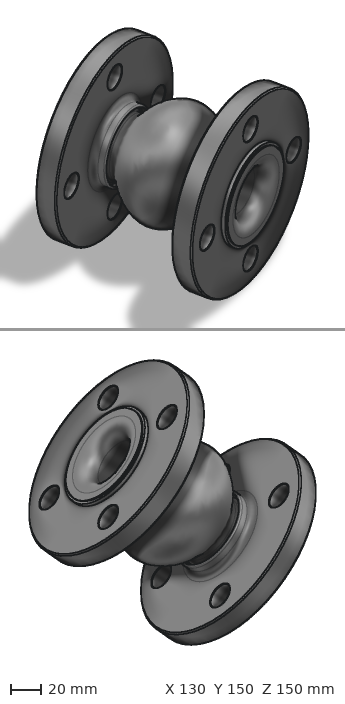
import cadquery as cq
import math

overall_length = 130.0
raised_face_height = 4.0
flange_thickness = 16.0
neck_length = 10.5
face_x = overall_length / 2
flange_outer_x = face_x - raised_face_height
flange_inner_x = flange_outer_x - flange_thickness
neck_end_x = flange_inner_x - neck_length

flange_radius = 150 / 2
flange_chamfer = 1.0
raised_face_radius = 75 / 2
sealing_face_radius = 71.0 / 2
sealing_face_height = 1.0
neck_radius = 60 / 2
neck_edge_round = 1.0
neck_fillet = 5.0

recess_radius = 56.1 / 2
recess_depth = 5.0
seat_x = neck_end_x + recess_depth

bore_radius = 35.0 / 2
mouth_radius = 59.0 / 2
mouth_fillet = mouth_radius - bore_radius

bolt_count = 4
bolt_hole_radius = 18.0 / 2
bolt_hole_chamfer = 0.5
bolt_circle_radius = 110.0 / 2

bellows_crest_radius = 90.0 / 2
shoulder_x = 15.0
shoulder_radius = 40.2
foot_x = 27.0
foot_radius = 29.2
bulge_end_x = neck_end_x
bellows_end_radius = 49.0 / 2
end_flare_round = 2.1
flare_radius = bellows_end_radius + end_flare_round


def quarter_arc_middle(center_x, center_r, radius, direction_x, direction_r):
    """Point halfway along a quarter arc, on the diagonal given by two signs."""
    step = radius * math.sqrt(0.5)
    return (center_x + direction_x * step, center_r + direction_r * step)


def cut_bolt_holes(flange):
    """Cut the chamfered bolt holes through the flange."""
    mouth = bolt_hole_radius + bolt_hole_chamfer
    hole = (
        cq.Workplane("XY")
        .moveTo(flange_inner_x, 0)
        .lineTo(flange_inner_x, mouth)
        .lineTo(flange_inner_x + bolt_hole_chamfer, bolt_hole_radius)
        .lineTo(flange_outer_x - bolt_hole_chamfer, bolt_hole_radius)
        .lineTo(flange_outer_x, mouth)
        .lineTo(flange_outer_x, 0)
        .close()
        .revolve(360, (0, 0, 0), (1, 0, 0))
        .translate((0, bolt_circle_radius, 0))
    )
    for index in range(bolt_count):
        angle = index * 360 / bolt_count
        flange = flange.cut(hole.rotate((0, 0, 0), (1, 0, 0), angle))
    return flange


def make_flange(turn):
    """Welding-neck flange on +X, turned about Z by the given angle."""
    neck_arc = quarter_arc_middle(
        flange_inner_x - neck_fillet, neck_radius + neck_fillet, neck_fillet, 1, -1
    )
    edge_arc = quarter_arc_middle(
        neck_end_x + neck_edge_round, neck_radius - neck_edge_round, neck_edge_round, -1, 1
    )
    mouth_arc = quarter_arc_middle(face_x - mouth_fillet, mouth_radius, mouth_fillet, 1, -1)
    flange = (
        cq.Workplane("XY")
        .moveTo(seat_x, bore_radius)
        .lineTo(seat_x, recess_radius)
        .lineTo(neck_end_x, recess_radius)
        .lineTo(neck_end_x, neck_radius - neck_edge_round)
        .threePointArc(edge_arc, (neck_end_x + neck_edge_round, neck_radius))
        .lineTo(flange_inner_x - neck_fillet, neck_radius)
        .threePointArc(neck_arc, (flange_inner_x, neck_radius + neck_fillet))
        .lineTo(flange_inner_x, flange_radius - flange_chamfer)
        .lineTo(flange_inner_x + flange_chamfer, flange_radius)
        .lineTo(flange_outer_x - flange_chamfer, flange_radius)
        .lineTo(flange_outer_x, flange_radius - flange_chamfer)
        .lineTo(flange_outer_x, raised_face_radius)
        .lineTo(face_x - sealing_face_height, raised_face_radius)
        .lineTo(face_x - sealing_face_height, sealing_face_radius)
        .lineTo(face_x, sealing_face_radius)
        .lineTo(face_x, mouth_radius)
        .threePointArc(mouth_arc, (face_x - mouth_fillet, bore_radius))
        .close()
        .revolve(360, (0, 0, 0), (1, 0, 0))
    )
    return cut_bolt_holes(flange).rotate((0, 0, 0), (0, 0, 1), turn)


def make_bellows():
    """Tube between the flanges with one smooth bulge and flared ends."""
    flare_start_x = seat_x - end_flare_round
    right_flare_arc = quarter_arc_middle(flare_start_x, flare_radius, end_flare_round, 1, -1)
    left_flare_arc = quarter_arc_middle(-flare_start_x, flare_radius, end_flare_round, -1, -1)

    bulge = [
        (-foot_x, foot_radius),
        (-shoulder_x, shoulder_radius),
        (0, bellows_crest_radius),
        (shoulder_x, shoulder_radius),
        (foot_x, foot_radius),
        (bulge_end_x, bellows_end_radius),
    ]
    along_axis = (1, 0)

    return (
        cq.Workplane("XY")
        .moveTo(-seat_x, bore_radius)
        .lineTo(-seat_x, flare_radius)
        .threePointArc(left_flare_arc, (-flare_start_x, bellows_end_radius))
        .lineTo(-bulge_end_x, bellows_end_radius)
        .spline(bulge, tangents=[along_axis, along_axis], includeCurrent=True)
        .lineTo(flare_start_x, bellows_end_radius)
        .threePointArc(right_flare_arc, (seat_x, flare_radius))
        .lineTo(seat_x, bore_radius)
        .close()
        .revolve(360, (0, 0, 0), (1, 0, 0))
    )


flanges = [make_flange(turn) for turn in (0, 180)]
bellows = make_bellows()

result = cq.Compound.makeCompound([bellows.val(), *[flange.val() for flange in flanges]])